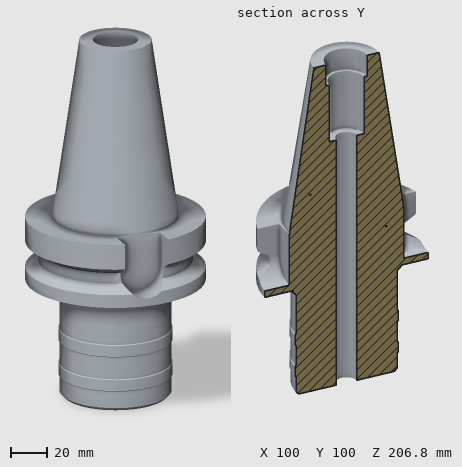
import cadquery as cq

total_height = 206.8
flange_bottom = 67.0
lower_rim_top = 74.5
groove_floor_bottom = 78.8
groove_floor_top = 85.0
upper_rim_bottom = 89.3
flange_top = 103.8
taper_bottom = 105.0

shank_radius = 31.0
band_radius = 31.6
flange_radius = 50.0
groove_radius = 43.0
taper_large_radius = 35.0
taper_small_radius = 20.0

end_chamfer = 1.9
neck_flare = 2.9
band_bottoms = (11.5, 31.6)
band_height = 7.2
band_chamfer = 0.5

slot_width = 25.6
slot_floor_x = 35.2
slot_bottom = 71.3

counterbore_radius = 12.6
counterbore_depth = 13.2
drawbar_bore_radius = 10.5
drawbar_bore_depth = 49.6
through_radius = 6.2


def turned_body():
    """Shank, grooved flange and taper as one revolved profile."""
    profile = [
        (0, 0),
        (shank_radius - end_chamfer, 0),
        (shank_radius, end_chamfer),
        (shank_radius, flange_bottom - neck_flare),
        (shank_radius + neck_flare, flange_bottom),
        (flange_radius, flange_bottom),
        (flange_radius, lower_rim_top),
        (groove_radius, groove_floor_bottom),
        (groove_radius, groove_floor_top),
        (flange_radius, upper_rim_bottom),
        (flange_radius, flange_top),
        (taper_large_radius, flange_top),
        (taper_large_radius, taper_bottom),
        (taper_small_radius, total_height),
        (0, total_height),
    ]
    return cq.Workplane("XZ").polyline(profile).close().revolve(360, (0, 0), (0, 1))


def shank_band(bottom):
    """Slightly raised ring around the shank, with chamfered edges."""
    return (
        cq.Workplane("XY", origin=(0, 0, bottom))
        .circle(band_radius)
        .extrude(band_height)
        .edges()
        .chamfer(band_chamfer)
    )


def drive_slot(side):
    """Round-bottomed slot cutter; side is -1 or 1 along X."""
    end_radius = slot_width / 2
    arc_center = slot_bottom + end_radius
    depth = flange_radius - slot_floor_x
    return (
        cq.Workplane("YZ", origin=(side * slot_floor_x, 0, 0))
        .moveTo(-end_radius, flange_top)
        .lineTo(-end_radius, arc_center)
        .threePointArc((0, slot_bottom), (end_radius, arc_center))
        .lineTo(end_radius, flange_top)
        .close()
        .extrude(side * depth)
    )


def bore_step(radius, depth):
    """Cylinder reaching down from the top face."""
    return cq.Workplane("XY", origin=(0, 0, total_height - depth)).circle(radius).extrude(depth)


result = turned_body()
for band_bottom in band_bottoms:
    result = result.union(shank_band(band_bottom))
for slot_side in (-1, 1):
    result = result.cut(drive_slot(slot_side))
result = result.cut(bore_step(counterbore_radius, counterbore_depth))
result = result.cut(bore_step(drawbar_bore_radius, drawbar_bore_depth))
result = result.cut(bore_step(through_radius, total_height))